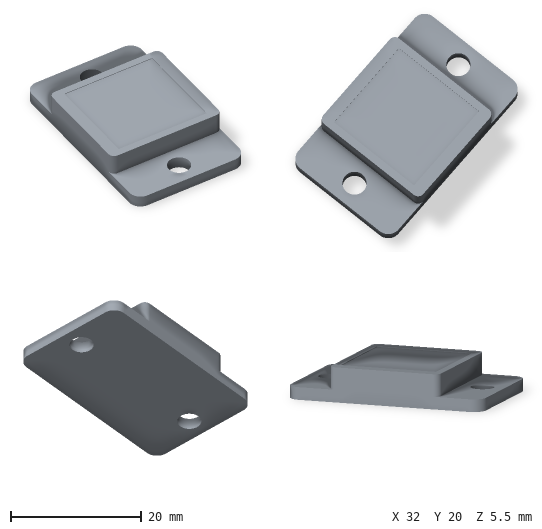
import cadquery as cq

length = 32.0
width = 20.0
base_thickness = 2.0
base_corner_radius = 2.0

total_height = 5.5
block_length = 18.05
block_corner_radius = 1.02

recess_length = 15.6
recess_width = 16.0
recess_depth = 0.1

hole_diameter = 3.7
hole_spacing = 25.0


def rounded_plate(size_x, size_y, height, corner_radius):
    """Plate standing on the XY plane with rounded vertical edges."""
    plate = cq.Workplane("XY").box(size_x, size_y, height, centered=(True, True, False))
    return plate.edges("|Z").fillet(corner_radius)


base = rounded_plate(length, width, base_thickness, base_corner_radius)
block = rounded_plate(block_length, width, total_height, block_corner_radius)

block = block.intersect(
    cq.Workplane("XY", origin=(0, 0, base_thickness)).box(
        length, width, total_height - base_thickness, centered=(True, True, False)
    )
)
body = base.union(block)

recess = (
    cq.Workplane("XY", origin=(0, 0, total_height))
    .rect(recess_length, recess_width)
    .extrude(-recess_depth)
)

holes = (
    cq.Workplane("XY")
    .pushPoints([(-hole_spacing / 2, 0), (hole_spacing / 2, 0)])
    .circle(hole_diameter / 2)
    .extrude(base_thickness)
)

result = body.cut(recess).cut(holes)